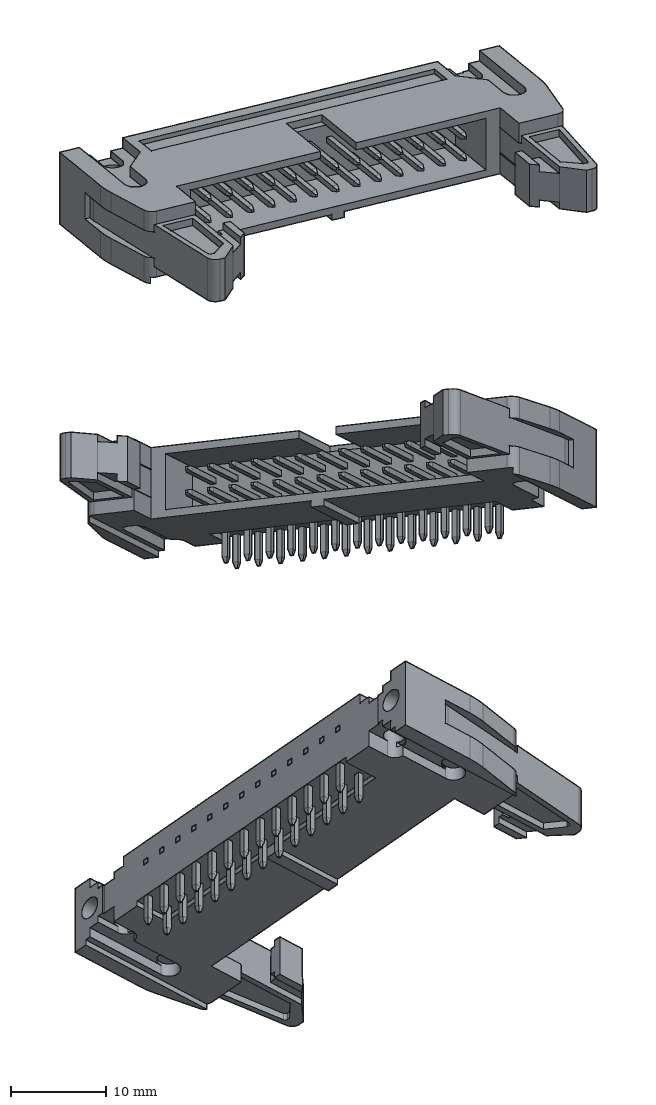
import cadquery as cq
import math


half_length = 26.25
housing_height = 7.7
half_height = housing_height / 2
overall_height = 10.7
rear_face_x = 0.15
ear_step_y = 21.9
mating_face_x = 12.9
ear_end_x = 17.05
ear_inner_y = 19.35
taper_start_x = 10.0
taper_angle = 11.3
taper_blend_radius = 10.0
ear_corner_radius = 1.05
foot_height = 0.7
foot_inner_y = 24.6
middle_foot_width = 1.45

cavity_back_x = 6.25
wall = 0.85
cavity_half_length = 17.65
key_back_x = 5.4
key_width = 4.25

groove_start_x = 1.65
groove_width = 2.7
groove_depth = 0.5
ledge_half_length = 16.6
ledge_height = 0.65
ledge_depth = groove_start_x + groove_width - rear_face_x
bore_diameter = 2.5
screw_diameter = 2.35
screw_x = 2.75
screw_y = 21.45
pivot_x = 9.9
pivot_y = 22.65
channel_depth = 1.2
web_half_height = 1.85
slit_width = 1.4
slit_y = 21.4
slit_height = 0.6
step_inner_y = 18.8
step_wide_x = 4.0
step_narrow_x = 6.5
rear_hole_y = 23.95

slot_start_x = 5.55
tongue_half_height = 1.5
tongue_end_x = 4.35
pivot_pin_half_height = 2.25
tongue_shoulder_x = 6.4
tongue_bevel_inner_y = 23.25
tongue_bevel_outer_y = 24.95
handle_start_x = 17.3
handle_half_height = 2.45
handle_tip_x = 27.75
handle_outer_y = 24.35
handle_inner_y = 19.5
handle_slope = 0.12
handle_tip_y = 21.6
handle_bevel_end_x = handle_tip_x - (handle_tip_y - handle_inner_y)
handle_tip_radius = 1.0
handle_rim = 0.65
handle_pocket_depth = 0.85
pocket_tip_x = 26.2
pocket_tip_y = 22.05
pocket_bevel_x = 24.65
pocket_tip_radius = 0.3
hook_tip_x = 23.6
hook_tip_y = 17.0
hook_step_y = 17.85
hook_back_y = 18.45
hook_rear_x = 20.45
hook_neck_x = 21.25
hook_neck_half_height = 1.7

pin_columns = 13
pin_span = 30.5
pin_pitch = pin_span / (pin_columns - 1)
row_pitch = 2.6
pin_width = 0.65
pin_recess = 0.05
pin_tip_height = 0.65
pin_tip_width = 0.25
tail_end_z = half_height - overall_height
contact_end_x = 12.8
rear_tail_x = rear_face_x + pin_recess + pin_width / 2
tail_rows_x = (rear_tail_x, rear_tail_x + row_pitch)
contact_rows_z = (pin_pitch / 2, -pin_pitch / 2)
pin_columns_y = [i * pin_pitch - pin_span / 2 for i in range(pin_columns)]


def block(x0, x1, y0, y1, z0, z1):
    """Box between two opposite corners."""
    return cq.Workplane("XY").box(x1 - x0, y1 - y0, z1 - z0, centered=False).translate((x0, y0, z0))


def prism(points, z0, z1):
    """Upright prism over a polygon in the XY plane."""
    return cq.Workplane("XY").workplane(offset=z0).polyline(points).close().extrude(z1 - z0)


def cylinder(x, y, diameter, z0, z1):
    """Upright cylinder."""
    return cq.Workplane("XY").workplane(offset=z0).center(x, y).circle(diameter / 2).extrude(z1 - z0)


def both_ends(shape):
    """A shape on the +Y end together with its mirror image on the -Y end."""
    return shape.union(shape.mirror("XZ"))


def make_ear(z0, z1):
    """Tapered ear at the +Y end, rounded where the taper starts and at the front corner."""
    taper_end_y = half_length - (ear_end_x - taper_start_x) * math.tan(math.radians(taper_angle))
    ear = prism(
        [
            (0, ear_step_y),
            (0, half_length),
            (taper_start_x, half_length),
            (ear_end_x, taper_end_y),
            (ear_end_x, ear_inner_y),
            (rear_face_x, ear_inner_y),
            (rear_face_x, ear_step_y),
        ],
        z0,
        z1,
    )
    ear = ear.edges(cq.selectors.NearestToPointSelector((taper_start_x, half_length, (z0 + z1) / 2)))
    ear = ear.fillet(taper_blend_radius)
    ear = ear.edges(cq.selectors.NearestToPointSelector((ear_end_x, taper_end_y, (z0 + z1) / 2)))
    return ear.fillet(ear_corner_radius)


def make_housing():
    foot_z = -half_height - foot_height
    middle = block(rear_face_x, mating_face_x, -ear_inner_y, ear_inner_y, -half_height, half_height)
    under_ear = block(0, ear_end_x, ear_inner_y, foot_inner_y, foot_z, -half_height)
    ear = make_ear(foot_z, half_height).cut(under_ear)
    middle_foot = block(
        rear_face_x + ledge_depth, mating_face_x,
        -middle_foot_width / 2, middle_foot_width / 2,
        foot_z, -half_height,
    )
    return middle.union(both_ends(ear)).union(middle_foot)


def make_shroud_recesses():
    """Mating cavity, key notch, top groove and the relief for the pin tails."""
    cavity_half_height = half_height - wall
    cavity = block(
        cavity_back_x, mating_face_x,
        -cavity_half_length, cavity_half_length,
        -cavity_half_height, cavity_half_height,
    )
    key = block(key_back_x, mating_face_x, -key_width / 2, key_width / 2, cavity_half_height, half_height)
    groove = block(
        groove_start_x, groove_start_x + groove_width,
        -cavity_half_length, cavity_half_length,
        half_height - groove_depth, half_height,
    )
    ledge = block(
        rear_face_x, rear_face_x + ledge_depth,
        -ledge_half_length, ledge_half_length,
        -half_height, ledge_height - half_height,
    )
    return cavity.union(key).union(groove).union(ledge)


def make_pocket_stack():
    """Recesses on the upper side of the +Y end that are repeated on the lower side."""
    channel = block(
        0, pivot_x,
        pivot_y - bore_diameter / 2, pivot_y + bore_diameter / 2,
        half_height - channel_depth, half_height,
    )
    pivot = cylinder(pivot_x, pivot_y, bore_diameter, web_half_height, half_height)
    screw_slot = block(
        0, screw_x,
        screw_y - screw_diameter / 2, screw_y + screw_diameter / 2,
        web_half_height, half_height,
    )
    slit = block(
        screw_x, pivot_x,
        slit_y - slit_width / 2, slit_y + slit_width / 2,
        web_half_height, web_half_height + slit_height,
    )
    return channel.union(pivot).union(screw_slot).union(slit)


def make_end_recesses():
    """All recesses in the +Y end of the housing."""
    upper = make_pocket_stack()
    channel_inner_y = pivot_y - bore_diameter / 2
    step = prism(
        [
            (0, step_inner_y),
            (step_wide_x, step_inner_y),
            (step_narrow_x, channel_inner_y),
            (step_narrow_x, pivot_y),
            (0, pivot_y),
        ],
        half_height - channel_depth,
        half_height,
    )
    screw_hole = cylinder(screw_x, screw_y, screw_diameter, -half_height, half_height)
    rear_hole = cq.Workplane("YZ").center(rear_hole_y, 0).circle(bore_diameter / 2).extrude(slot_start_x)
    latch_slot = block(
        slot_start_x, ear_end_x, ear_inner_y, half_length, -tongue_half_height, tongue_half_height
    )
    recesses = upper.union(upper.mirror("XY")).union(step).union(screw_hole)
    return recesses.union(rear_hole).union(latch_slot)


def outer_side_y(x):
    """Y of the sloping outer side of the latch."""
    return handle_outer_y - handle_slope * (x - handle_start_x)


def make_handle():
    """Wide outer part of the latch with a shallow rimmed pocket on both faces."""
    handle = prism(
        [
            (handle_start_x, handle_inner_y),
            (handle_start_x, handle_outer_y),
            (handle_tip_x, outer_side_y(handle_tip_x)),
            (handle_tip_x, handle_tip_y),
            (handle_bevel_end_x, handle_inner_y),
        ],
        -handle_half_height,
        handle_half_height,
    )
    outer_tip = (handle_tip_x, outer_side_y(handle_tip_x), 0)
    handle = handle.edges(cq.selectors.NearestToPointSelector(outer_tip)).fillet(handle_tip_radius)

    pocket_start_x = handle_start_x + handle_rim
    pocket_floor_z = handle_half_height - handle_pocket_depth
    pocket = prism(
        [
            (pocket_start_x, handle_inner_y + handle_rim),
            (pocket_start_x, outer_side_y(pocket_start_x) - handle_rim),
            (pocket_tip_x, outer_side_y(pocket_tip_x) - handle_rim),
            (pocket_tip_x, pocket_tip_y),
            (pocket_bevel_x, handle_inner_y + handle_rim),
        ],
        pocket_floor_z,
        handle_half_height,
    )
    pocket_mid_z = (pocket_floor_z + handle_half_height) / 2
    pocket_tip = (pocket_tip_x, outer_side_y(pocket_tip_x) - handle_rim, pocket_mid_z)
    pocket = pocket.edges(cq.selectors.NearestToPointSelector(pocket_tip)).fillet(pocket_tip_radius)
    return handle.cut(pocket).cut(pocket.mirror("XY"))


def make_hook():
    """Low neck and taller claw on the inner side of the handle, ending on one slanted front."""
    front_slope = (handle_bevel_end_x - hook_tip_x) / (handle_inner_y - hook_tip_y)
    step_front_x = hook_tip_x + front_slope * (hook_step_y - hook_tip_y)
    neck = prism(
        [
            (hook_neck_x, handle_inner_y),
            (hook_neck_x, hook_back_y),
            (hook_rear_x, hook_back_y),
            (hook_rear_x, hook_step_y),
            (step_front_x, hook_step_y),
            (handle_bevel_end_x, handle_inner_y),
        ],
        -hook_neck_half_height,
        hook_neck_half_height,
    )
    claw = prism(
        [
            (hook_rear_x, hook_step_y),
            (hook_rear_x, hook_tip_y),
            (hook_tip_x, hook_tip_y),
            (step_front_x, hook_step_y),
        ],
        -handle_half_height,
        handle_half_height,
    )
    return neck.union(claw)


def make_tongue():
    """Inner part of the latch that fills the height of the slot; its bevelled end closes the rear hole."""
    return prism(
        [
            (tongue_end_x, handle_inner_y),
            (tongue_end_x, tongue_bevel_inner_y),
            (slot_start_x, tongue_bevel_outer_y),
            (slot_start_x, outer_side_y(tongue_shoulder_x)),
            (tongue_shoulder_x, outer_side_y(tongue_shoulder_x)),
            (handle_start_x, handle_outer_y),
            (handle_start_x, handle_inner_y),
        ],
        -tongue_half_height,
        tongue_half_height,
    )


def make_pin_tip():
    """Square tip tapering upward from Z = 0."""
    tip = cq.Workplane("XY").rect(pin_width, pin_width)
    return tip.workplane(offset=pin_tip_height).rect(pin_tip_width, pin_tip_width).loft()


def make_column(y):
    """The two right-angle pins in one column; the rear tail carries the upper contact."""
    half_width = pin_width / 2
    tail_tip = make_pin_tip().rotate((0, 0, 0), (1, 0, 0), 180)
    contact_tip = make_pin_tip().rotate((0, 0, 0), (0, 1, 0), 90)
    tail_tip_z = tail_end_z + pin_tip_height
    contact_tip_x = contact_end_x - pin_tip_height
    column = cq.Workplane("XY")
    for x, z in zip(tail_rows_x, contact_rows_z):
        tail = block(x - half_width, x + half_width, y - half_width, y + half_width, tail_tip_z, z)
        contact = block(
            x - half_width, contact_tip_x, y - half_width, y + half_width, z - half_width, z + half_width
        )
        column = column.add(tail.union(contact))
        column = column.add(tail_tip.translate((x, y, tail_tip_z)))
        column = column.add(contact_tip.translate((contact_tip_x, y, z)))
    return column.combine()


def make_pin_end_recess(y):
    """Shallow square opening in the rear face that shows the end of an upper pin."""
    half_width = pin_width / 2
    z = contact_rows_z[0]
    return block(
        rear_face_x, rear_face_x + pin_recess,
        y - half_width, y + half_width,
        z - half_width, z + half_width,
    )


housing = make_housing().cut(make_shroud_recesses()).cut(both_ends(make_end_recesses()))
for column_y in pin_columns_y:
    housing = housing.cut(make_pin_end_recess(column_y))

pivot_pin = cylinder(pivot_x, pivot_y, bore_diameter, -pivot_pin_half_height, pivot_pin_half_height)
latch = make_tongue().union(make_handle()).union(make_hook()).union(pivot_pin)
result = housing.union(both_ends(latch))
for column_y in pin_columns_y:
    result = result.union(make_column(column_y))